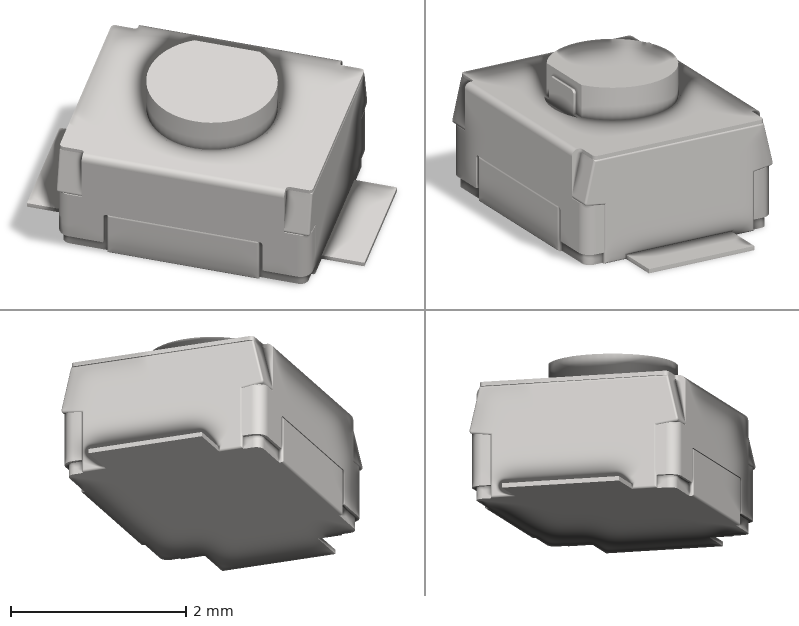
import cadquery as cq

TOTAL_LENGTH = 4.0
CASE_LENGTH = 3.0
CASE_WIDTH = 2.5
CASE_HEIGHT = 1.35
BUTTON_TOP = 1.75

WALL = 0.05
COVER_BOTTOM = 0.145
CORNER_RADIUS = 0.145
TOP_EDGE_RADIUS = 0.075
SKIRT_LENGTH = 2.4
TOP_CORNER_RADIUS = 0.05
NOTCH_CORNER_RADIUS = 0.035
BUTTON_HOLE_RADIUS = 0.78

CORE_LENGTH = CASE_LENGTH - 2 * WALL
CORE_WIDTH = CASE_WIDTH - 2 * WALL
CORE_HEIGHT = CASE_HEIGHT - WALL

PLATE_EDGE_RADIUS = 0.025
WING_FOOT_RADIUS = 0.03
LEG_HALF_WIDTH = 0.99
WING_INNER_Z = 0.73
WING_OUTER_Z = 0.765
WING_HALF_WIDTH = 1.255
WING_TOP_HALF_WIDTH = 1.13
FRONT_PANEL_LENGTH = 1.8
FRONT_PANEL_HEIGHT = 0.555
FRONT_PANEL_GAP = 0.045

TERMINAL_WIDTH = 1.4
TERMINAL_THICKNESS = 0.05

BUTTON_RADIUS = 0.75
BUTTON_FLAT_Y = 0.645
RIB_FACE_Y = 0.68
RIB_WIDTH = 0.545
RIB_TOP = 1.65
RIB_CORNER_RADIUS = 0.05

CLEAR = 0.2
SIDES = (-1, 1)


def block(x_range, y_range, z_range):
    """Axis-aligned box given by its limits along each axis."""
    size = [high - low for low, high in (x_range, y_range, z_range)]
    return cq.Workplane("XY").box(*size, centered=False).translate((x_range[0], y_range[0], z_range[0]))


def centred_block(length, width, bottom, top):
    """Box centred on the Z axis."""
    return block((-length / 2, length / 2), (-width / 2, width / 2), (bottom, top))


def rounded_block(length, width, bottom, top, corner_radius, edge_radius):
    """Centred box with round upright corners and round long top edges."""
    upright = centred_block(length, width, bottom, top).edges("|Z").fillet(corner_radius)
    crowned = centred_block(length, width, bottom, top).edges("|X and >Z").fillet(edge_radius)
    return upright.intersect(crowned)


def prism_along_x(points, x_start, x_end):
    """Closed (y, z) outline extruded from x_start to x_end."""
    return cq.Workplane("YZ").workplane(offset=x_start).polyline(points).close().extrude(x_end - x_start)


def facing(body, side):
    """Body drawn for the +X end, turned half a turn about Z for the -X end."""
    return body if side > 0 else body.rotate((0, 0, 0), (0, 0, 1), 180)


def wing_outline():
    """Tapered upper part of the end plate."""
    right_half = [
        (LEG_HALF_WIDTH, WING_INNER_Z),
        (WING_HALF_WIDTH, WING_OUTER_Z),
        (WING_TOP_HALF_WIDTH, CORE_HEIGHT),
    ]
    return right_half + [(-y, z) for y, z in reversed(right_half)]


def end_plate_blank():
    """End plate at +X with sharp outer edges: a leg under a wider, tapered wing."""
    wing = prism_along_x(wing_outline(), SKIRT_LENGTH / 2, CASE_LENGTH / 2)
    wing = wing.edges("|X and (>Y or <Y)").fillet(WING_FOOT_RADIUS)
    leg = block(
        (CORE_LENGTH / 2, CASE_LENGTH / 2), (-LEG_HALF_WIDTH, LEG_HALF_WIDTH), (0, WING_INNER_Z)
    )
    return wing.union(leg)


def make_end_plate():
    """End plate at +X, notched for its terminal, with round outer edges."""
    terminal_notch = block(
        (CORE_LENGTH / 2, CASE_LENGTH / 2),
        (-TERMINAL_WIDTH / 2, TERMINAL_WIDTH / 2),
        (0, TERMINAL_THICKNESS),
    )
    return end_plate_blank().cut(terminal_notch).faces(">X").edges().fillet(PLATE_EDGE_RADIUS)


def make_front_panel():
    """Panel at +Y that fills the low notch of the cover."""
    panel = block(
        (-FRONT_PANEL_LENGTH / 2, FRONT_PANEL_LENGTH / 2),
        (CORE_WIDTH / 2, CASE_WIDTH / 2),
        (0, FRONT_PANEL_HEIGHT),
    )
    return panel.faces(">Y").edges().fillet(PLATE_EDGE_RADIUS)


def make_core():
    """Solid middle of the housing, which is also the cavity of the cover."""
    return rounded_block(
        CORE_LENGTH, CORE_WIDTH, 0, CORE_HEIGHT, CORNER_RADIUS - WALL, TOP_EDGE_RADIUS - WALL
    )


def make_housing():
    housing = make_core()
    for x_side in SIDES:
        for y_side in SIDES:
            slope = [
                (y_side * WING_TOP_HALF_WIDTH, CORE_HEIGHT),
                (y_side * WING_HALF_WIDTH, WING_OUTER_Z),
                (y_side * WING_HALF_WIDTH, CORE_HEIGHT),
            ]
            x_start = x_side * SKIRT_LENGTH / 2
            housing = housing.cut(prism_along_x(slope, x_start, x_side * CASE_LENGTH / 2))
    for side in SIDES:
        housing = housing.union(facing(make_end_plate(), side))
        housing = housing.union(facing(make_front_panel(), side))
    return housing


def make_corner_notch(x_side, y_side):
    """Cutter for one top corner of the cover, from the top plate down to the foot of the wing."""
    foot_slope = (WING_OUTER_Z - WING_INNER_Z) / (WING_HALF_WIDTH - LEG_HALF_WIDTH)
    outer_y = CASE_WIDTH / 2 + CLEAR
    outer_z = WING_INNER_Z + foot_slope * (outer_y - LEG_HALF_WIDTH)
    inner_z = WING_INNER_Z + foot_slope * (WING_TOP_HALF_WIDTH - LEG_HALF_WIDTH)
    outline = [
        (y_side * WING_TOP_HALF_WIDTH, inner_z),
        (y_side * outer_y, outer_z),
        (y_side * outer_y, CASE_HEIGHT + CLEAR),
        (y_side * WING_TOP_HALF_WIDTH, CASE_HEIGHT + CLEAR),
    ]
    notch = prism_along_x(outline, x_side * SKIRT_LENGTH / 2, x_side * (CASE_LENGTH / 2 + CLEAR))
    inner_corner = cq.selectors.NearestToPointSelector(
        (x_side * SKIRT_LENGTH / 2, y_side * WING_TOP_HALF_WIDTH, CASE_HEIGHT / 2 + inner_z / 2)
    )
    return notch.edges("|Z").edges(inner_corner).fillet(NOTCH_CORNER_RADIUS)


def make_plate_corner(x_side, y_side):
    """Cutter that leaves one outer corner of the top plate round."""
    corner = (x_side * CASE_LENGTH / 2, y_side * WING_TOP_HALF_WIDTH)
    centre = (corner[0] - x_side * TOP_CORNER_RADIUS, corner[1] - y_side * TOP_CORNER_RADIUS)
    square = block(
        sorted((centre[0], corner[0])), sorted((centre[1], corner[1])), (CORE_HEIGHT, CASE_HEIGHT)
    )
    return square.cut(cq.Workplane("XY").center(*centre).circle(TOP_CORNER_RADIUS).extrude(CASE_HEIGHT))


def make_cover():
    cover = rounded_block(
        CASE_LENGTH, CASE_WIDTH, COVER_BOTTOM, CASE_HEIGHT, CORNER_RADIUS, TOP_EDGE_RADIUS
    )
    cover = cover.cut(make_core())
    for side in SIDES:
        end_opening = prism_along_x(wing_outline(), SKIRT_LENGTH / 2, CASE_LENGTH / 2 + CLEAR)
        leg_opening = block(
            (CORE_LENGTH / 2, CASE_LENGTH / 2 + CLEAR), (-LEG_HALF_WIDTH, LEG_HALF_WIDTH), (0, WING_INNER_Z)
        )
        cover = cover.cut(facing(end_opening, side)).cut(facing(leg_opening, side))
        panel_opening = block(
            (-FRONT_PANEL_LENGTH / 2 - FRONT_PANEL_GAP, FRONT_PANEL_LENGTH / 2 + FRONT_PANEL_GAP),
            (CORE_WIDTH / 2, CASE_WIDTH / 2 + CLEAR),
            (0, FRONT_PANEL_HEIGHT),
        )
        panel_opening = panel_opening.edges("|Y and >Z").fillet(NOTCH_CORNER_RADIUS)
        cover = cover.cut(facing(panel_opening, side))
        for y_side in SIDES:
            cover = cover.cut(make_corner_notch(side, y_side)).cut(make_plate_corner(side, y_side))
    button_hole = cq.Workplane("XY").circle(BUTTON_HOLE_RADIUS).extrude(CASE_HEIGHT)
    return cover.cut(button_hole)


def flatted_disc(radius, flat_y, bottom, top):
    """Upright disc with its +Y side cut flat."""
    disc = cq.Workplane("XY").workplane(offset=bottom).circle(radius).extrude(top - bottom)
    return disc.intersect(block((-radius, radius), (-radius, flat_y), (bottom, top)))


def make_button():
    collar = flatted_disc(BUTTON_HOLE_RADIUS, RIB_FACE_Y, CORE_HEIGHT, CASE_HEIGHT)
    stem = flatted_disc(BUTTON_RADIUS, BUTTON_FLAT_Y, CORE_HEIGHT, BUTTON_TOP)
    rib = block((-RIB_WIDTH / 2, RIB_WIDTH / 2), (0, RIB_FACE_Y), (CORE_HEIGHT, RIB_TOP))
    rib = rib.edges("|Y and >Z").fillet(RIB_CORNER_RADIUS)
    return collar.union(stem).union(rib)


def make_terminal(side):
    """Flat terminal that lies in the notch of an end plate and butts against the core."""
    terminal = block(
        (CORE_LENGTH / 2, TOTAL_LENGTH / 2),
        (-TERMINAL_WIDTH / 2, TERMINAL_WIDTH / 2),
        (0, TERMINAL_THICKNESS),
    )
    return facing(terminal, side)


housing = make_housing()
cover = make_cover()
button = make_button()
terminals = [make_terminal(side) for side in SIDES]

result = cq.Compound.makeCompound(
    [housing.val(), cover.val(), button.val(), *[terminal.val() for terminal in terminals]]
)